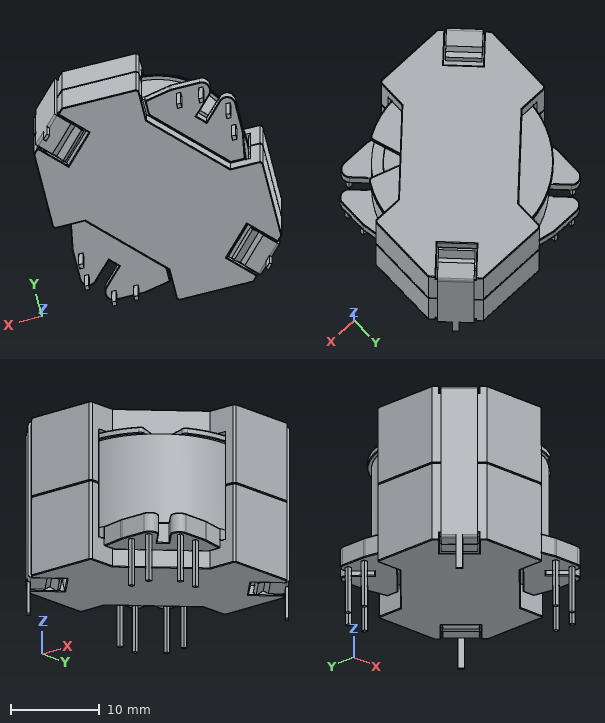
import cadquery as cq
import math

SQRT2 = math.sqrt(2)

core_size = 24.7
core_height = 18.77
arm_edge = 0.9
waist_half_width = 6.75
corner_distance = 14.38
cavity_height = 12.8
cavity_radius = 10.72
edge_break = 0.1
arm_corner_chamfer = 0.25
opening_chamfer = 0.3
post_diameter = 11.1

pocket_width = 4.5
pocket_inner = 10.32
pocket_foot = 10.57
pocket_depth = 1.15
ledge_inner = 12.92
ledge_outer = 13.21
ledge_depth = 0.86

clip_width = 4.12
clip_thickness = 0.35
clip_bend_radius = 0.32
clip_top = 9.21
clip_bend = 12.57
clip_valley = 12.0
clip_valley_height = 8.9
clip_crest = 11.2
clip_crest_height = 9.48
clip_tip = 10.87
clip_pin_width = 0.77

flange_radius = 10.47
flange_bottom = 5.4
flange_top = 6.15
flange_corner_radius = 0.5
notch_half_angle = 26.4
winding_diameter = 19.95
layer_gap_outer = 17.36
layer_gap_inner = 17.27

plate_top = -5.1
plate_bottom = -7.43
plate_half_size = 11.0
plate_clearance = 0.3
plate_end = 10.42
plate_taper_end = 4.25
slot_width = 1.33
slot_start = 9.63
tip_radius = 1.0
taper_radius = 1.24

pin_width = 0.5
pin_bottom = -12.92
pin_near = 5.06
pin_middle = 7.63
pin_far = 10.15

half_size = core_size / 2
half_height = core_height / 2
half_cavity = cavity_height / 2
clip_outer = corner_distance + clip_thickness


def with_opposite(shape):
    """The shape together with its copy turned half a turn about Z."""
    return shape.union(shape.rotate((0, 0, 0), (0, 0, 1), 180))


def ring(outer_diameter, inner_diameter, bottom, top):
    """A plain ring on the Z axis."""
    outline = cq.Workplane("XY", origin=(0, 0, bottom)).circle(outer_diameter / 2).circle(inner_diameter / 2)
    return outline.extrude(top - bottom)


def clip_pockets():
    """The upper recesses that take the clip tabs, cut in from the two flat corners."""
    beyond = corner_distance + 0.25
    above = half_height + 0.25
    ledge = half_height - ledge_depth
    floor = half_height - pocket_depth
    profile = [
        (pocket_inner, above),
        (pocket_inner, half_height),
        (pocket_foot, floor),
        (ledge_inner, floor),
        (ledge_outer, ledge),
        (beyond, ledge),
        (beyond, above),
    ]
    pocket = cq.Workplane("XZ").polyline(profile).close().extrude(pocket_width / 2, both=True)
    return with_opposite(pocket.rotate((0, 0, 0), (0, 0, 1), 45))


def arm_edge_reliefs():
    """Small prisms that break the upright edges where the cavity opens through the core arms."""
    opening = math.sqrt(cavity_radius**2 - arm_edge**2)
    section = [
        (opening - opening_chamfer, -arm_edge - opening_chamfer),
        (opening + opening_chamfer, -arm_edge),
        (opening, -arm_edge + opening_chamfer),
        (opening - opening_chamfer, -arm_edge + opening_chamfer),
    ]
    relief = cq.Workplane("XY").polyline(section).close().extrude(half_cavity)
    across_diagonal = relief.mirror("XZ").rotate((0, 0, 0), (0, 0, 1), 90)
    return with_opposite(relief.union(across_diagonal))


def break_pocket_mouth(block, side):
    """Break the edges of one pocket where it opens through a flat corner face."""
    lowest = half_height - ledge_depth - edge_break / 2
    highest = half_height - edge_break - edge_break / 2
    on_corner_face = cq.selectors.DirectionMinMaxSelector(cq.Vector(side, side, 0), True)
    beside_pocket = cq.selectors.BoxSelector((-core_size, -core_size, lowest), (core_size, core_size, highest))
    return block.edges(on_corner_face).edges(beside_pocket).chamfer(edge_break)


def core_half():
    """The upper core half: a notched block with cavity, centre post and clip pockets."""
    corner = corner_distance * SQRT2 - half_size
    notch = waist_half_width * SQRT2 - arm_edge
    half_outline = [
        (notch, -arm_edge),
        (half_size, -arm_edge),
        (half_size, corner),
        (corner, half_size),
        (-arm_edge, half_size),
        (-arm_edge, notch),
    ]
    outline = half_outline + [(-x, -y) for x, y in half_outline]
    block = cq.Workplane("XY").polyline(outline).close().extrude(half_height)
    for x, y in [(half_size, -arm_edge), (-arm_edge, half_size)]:
        for side in (1, -1):
            upright = cq.selectors.NearestToPointSelector((side * x, side * y, half_height / 2))
            block = block.edges(upright).chamfer(arm_corner_chamfer)
    block = block.cut(clip_pockets())
    block = block.faces("<Z or >Z").edges().chamfer(edge_break)
    for side in (1, -1):
        block = break_pocket_mouth(block, side)
    cavity = ring(2 * cavity_radius, post_diameter, 0, half_cavity)
    return block.cut(cavity).cut(arm_edge_reliefs())


def clips():
    """The two spring clips on the flat corners, each with a ground pin at its lower end."""
    underside = clip_top - clip_thickness
    profile = [
        (corner_distance, 0),
        (clip_outer, 0),
        (clip_outer, clip_top),
        (clip_bend, clip_top),
        (clip_valley, clip_valley_height),
        (clip_crest, clip_crest_height),
        (clip_tip, clip_crest_height - clip_thickness),
        (clip_valley, clip_valley_height - clip_thickness),
        (clip_bend, underside),
        (corner_distance, underside),
    ]
    upper = cq.Workplane("XZ").polyline(profile).close().extrude(clip_width / 2, both=True)
    outer_bend = cq.selectors.NearestToPointSelector((clip_outer, 0, clip_top))
    upper = upper.edges(outer_bend).fillet(clip_bend_radius)
    pin = (
        cq.Workplane("XY", origin=(corner_distance + clip_thickness / 2, 0, pin_bottom))
        .rect(clip_thickness, clip_pin_width)
        .extrude(-underside - pin_bottom)
    )
    clip = upper.union(upper.mirror("XY")).union(pin)
    return with_opposite(clip.rotate((0, 0, 0), (0, 0, 1), 45))


def upper_flange():
    """The upper bobbin flange with a wedge-shaped notch on the (+X, -Y) side."""
    thickness = flange_top - flange_bottom
    slant = math.radians(notch_half_angle)
    apex = post_diameter / 2
    reach = core_size
    spread = (reach - apex) * math.tan(slant)
    wedge = (
        cq.Workplane("XY", origin=(0, 0, flange_bottom))
        .polyline([(apex, 0), (reach, spread), (reach, -spread)])
        .close()
        .extrude(thickness)
    )
    disc = cq.Workplane("XY", origin=(0, 0, flange_bottom)).circle(flange_radius).extrude(thickness)
    flange = disc.cut(wedge)
    rim_angle = slant - math.asin(apex * math.sin(slant) / flange_radius)
    corner_x = flange_radius * math.cos(rim_angle)
    corner_y = flange_radius * math.sin(rim_angle)
    for y in (corner_y, -corner_y):
        corner = cq.selectors.NearestToPointSelector((corner_x, y, flange_bottom + thickness / 2))
        flange = flange.edges("|Z").edges(corner).fillet(flange_corner_radius)
    flange = flange.faces("<Z or >Z").edges().chamfer(edge_break)
    return flange.rotate((0, 0, 0), (0, 0, 1), -45)


def windings():
    """Two winding layers with a thin gap between them."""
    outer = ring(winding_diameter, layer_gap_outer, plate_top, flange_bottom)
    inner = ring(layer_gap_inner, post_diameter, plate_top, flange_bottom)
    return outer.union(inner)


def terminal_plates():
    """The two slotted plates that carry the terminal pins."""
    side = arm_edge + plate_clearance
    inner = (waist_half_width + plate_clearance) * SQRT2 - side
    outline = [
        (side, -inner),
        (side, -plate_end),
        (plate_taper_end, -plate_half_size),
        (plate_half_size, -plate_half_size),
        (plate_half_size, -plate_taper_end),
        (plate_end, -side),
        (inner, -side),
    ]
    thickness = plate_top - plate_bottom
    plate = cq.Workplane("XY", origin=(0, 0, plate_bottom)).polyline(outline).close().extrude(thickness)
    slot = (
        cq.Workplane("XY", origin=(0, 0, plate_bottom))
        .rect(core_size, slot_width)
        .extrude(thickness)
        .translate((slot_start + core_size / 2, 0, 0))
        .rotate((0, 0, 0), (0, 0, 1), -45)
    )
    floor_ring = ring(2 * flange_radius, post_diameter, -half_cavity, plate_top)
    tip = plate_half_size - slot_width / SQRT2
    middle = (plate_top + plate_bottom) / 2
    plate = plate.cut(slot)
    for x, y in [(tip, -plate_half_size), (plate_half_size, -tip)]:
        plate = plate.edges(cq.selectors.NearestToPointSelector((x, y, middle))).fillet(tip_radius)
    for x, y in [(plate_taper_end, -plate_half_size), (plate_half_size, -plate_taper_end)]:
        plate = plate.edges(cq.selectors.NearestToPointSelector((x, y, middle))).fillet(taper_radius)
    plate = plate.faces("<Z or >Z").edges().chamfer(edge_break)
    return with_opposite(plate).union(floor_ring.cut(with_opposite(slot)))


def terminal_pins():
    """Four square pins under each terminal plate."""
    places = [(pin_near, -pin_far), (pin_middle, -pin_far), (pin_far, -pin_middle), (pin_far, -pin_near)]
    pins = (
        cq.Workplane("XY", origin=(0, 0, pin_bottom))
        .pushPoints(places)
        .rect(pin_width, pin_width)
        .extrude(plate_bottom - pin_bottom)
    )
    return with_opposite(pins)


upper_core = core_half()
core = upper_core.union(upper_core.mirror("XY"))
bobbin = upper_flange().union(windings()).union(terminal_plates()).union(terminal_pins())
result = core.union(bobbin).union(clips())